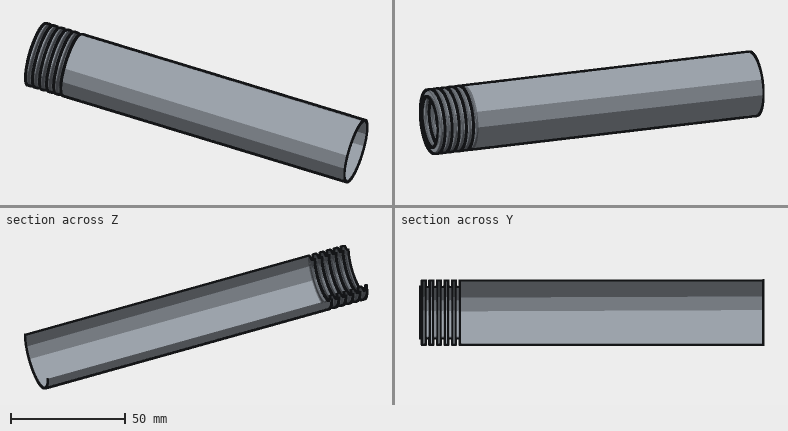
import cadquery as cq
import math

length = 150.0
outer_diameter = 28.5
valley_diameter = 22.8
wall = 0.38

ridge_count = 5
pitch = 3.3
ridge_width = 2.1
end_collar = (pitch - ridge_width) / 2
inner_bend = 0.12
outer_bend = inner_bend + wall

crest_radius = outer_diameter / 2
valley_radius = valley_diameter / 2
tube_start = end_collar + ridge_count * pitch


def bellows_solid(inset, crest_bend, valley_bend):
    """Solid enclosed by the surface lying `inset` below the outside of the wall."""
    crest = crest_radius - inset
    valley = valley_radius - inset
    corner_gap = 1 - math.sqrt(0.5)
    crest_gap = crest_bend * corner_gap
    valley_gap = valley_bend * corner_gap

    def rise(path, x):
        """Climb at x from a valley to a crest."""
        path = path.lineTo(x - valley_bend, valley)
        path = path.threePointArc((x - valley_gap, valley + valley_gap), (x, valley + valley_bend))
        path = path.lineTo(x, crest - crest_bend)
        return path.threePointArc((x + crest_gap, crest - crest_gap), (x + crest_bend, crest))

    def fall(path, x):
        """Drop at x from a crest to a valley."""
        path = path.lineTo(x - crest_bend, crest)
        path = path.threePointArc((x - crest_gap, crest - crest_gap), (x, crest - crest_bend))
        path = path.lineTo(x, valley + valley_bend)
        return path.threePointArc((x + valley_gap, valley + valley_gap), (x + valley_bend, valley))

    path = cq.Workplane("XY").lineTo(0, valley)
    for index in range(ridge_count):
        ridge_start = end_collar + index * pitch
        path = rise(path, ridge_start + inset)
        path = fall(path, ridge_start + ridge_width - inset)

    path = rise(path, tube_start + inset)
    path = path.lineTo(length, crest).lineTo(length, 0).close()
    return path.revolve(360, (0, 0, 0), (1, 0, 0))


outside = bellows_solid(0, outer_bend, inner_bend)
cavity = bellows_solid(wall, inner_bend, outer_bend)
result = outside.cut(cavity)